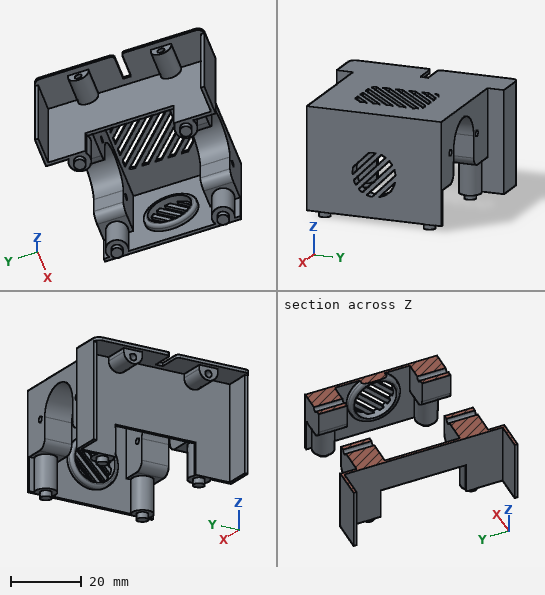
import cadquery as cq
import math


length = 46.1
width = 51.0
wall_depth = 30.85
sheet = 1.0

head_length = 11.0
corner_radius = 2.0
wing_setback = 1.7
notch_length = 7.95
notch_width = 2.3
notch_corner_radius = 1.0

body_width = 41.0
entry_wall_x = head_length - sheet
end_wall_x = length - sheet

block_depth = 20.45
block_gap = 23.15
block_thickness = (body_width - block_gap) / 2
arch_x = 29.05
arch_center_depth = 11.05
arch_radius = 7.6
arch_mouth_radius = 2.8
side_hole_diameter = 1.8
side_hole_spacing = 20.05

post_radius = 3.25
post_spacing_y = 31.95
post_xs = (12.75, 43.6)
pin_diameter = 3.4
pin_length = 1.75

doorway_width = 26.5
doorway_top_depth = 21.0

boss_radius = 3.05
boss_spacing = 24.9
boss_center_depth = 2.1
boss_length = entry_wall_x - wing_setback
boss_hole_depth = 3.15
boss_hole_diameter = 2.1

grille_spacing_along_edge = 4.0
grille_pitch = grille_spacing_along_edge / math.sqrt(2)
grille_slot_width = 1.4
top_grille_length = 15.1
top_grille_width = 21.1
top_grille_corner_radius = 2.0
top_grille_shift = 0.95
end_grille_shift = -0.65

collar_diameter = 16.1
collar_bore = 13.1
collar_height = 2.05
collar_rounding = 1.0
collar_center_depth = 18.05


def box(x_range, y_range, z_range):
    """Box between the given limits along each axis."""
    sizes = [high - low for low, high in (x_range, y_range, z_range)]
    corner = (x_range[0], y_range[0], z_range[0])
    return cq.Workplane("XY").box(*sizes, centered=False).translate(corner)


def cylinder_x(x_start, y, z, radius, depth):
    """Cylinder along +X."""
    return cq.Workplane("YZ", origin=(x_start, y, z)).circle(radius).extrude(depth)


def diagonal_bars(reach, shift, depth):
    """Parallel bars at 45 degrees in local XY, filling a square of the given half size."""
    half_diagonal = reach * math.sqrt(2)
    count = math.ceil(half_diagonal / grille_pitch)
    rows = [(0, shift + i * grille_pitch) for i in range(-count, count + 1)]
    bars = cq.Workplane("XY").pushPoints(rows).rect(2 * half_diagonal, grille_slot_width).extrude(depth)
    return bars.rotate((0, 0, 0), (0, 0, 1), 45)


def head():
    """Wide end of the plate with its two wings, rounded together at the free corners."""
    half = width / 2
    plate = box((0, head_length), (-half, half), (-sheet, 0))
    for y in (-half, half - sheet):
        plate = plate.union(box((0, head_length), (y, y + sheet), (-wall_depth, 0)))
    plate = plate.edges("|Z and <X and (<Y or >Y)").fillet(corner_radius)
    return plate.cut(box((0, wing_setback), (-half, half), (-wall_depth, -sheet)))


def notch():
    """Slot cut into the free edge of the head, flaring out to that edge with rounded corners."""
    half = notch_width / 2
    r = notch_corner_radius
    return (
        cq.Workplane("XY")
        .moveTo(0, half + r)
        .radiusArc((r, half), -r)
        .lineTo(notch_length, half)
        .lineTo(notch_length, -half)
        .lineTo(r, -half)
        .radiusArc((0, -half - r), -r)
        .close()
        .extrude(-sheet)
    )


def body():
    """Top plate, end walls and side blocks behind the head."""
    half = body_width / 2
    shell = box((entry_wall_x, length), (-half, half), (-sheet, 0))
    shell = shell.union(box((entry_wall_x, head_length), (-width / 2, width / 2), (-wall_depth, 0)))
    shell = shell.union(box((end_wall_x, length), (-half, half), (-wall_depth, 0)))
    for y in (-half, half - block_thickness):
        shell = shell.union(box((entry_wall_x, length), (y, y + block_thickness), (-block_depth, 0)))
    return shell


def arch_passage():
    """Arch through both side blocks, flaring out at its lower edges."""
    r = arch_mouth_radius
    mouth = arch_radius + r
    return (
        cq.Workplane("XZ", origin=(arch_x, 0, 0))
        .moveTo(-mouth, -block_depth)
        .radiusArc((-arch_radius, -block_depth + r), -r)
        .lineTo(-arch_radius, -arch_center_depth)
        .radiusArc((arch_radius, -arch_center_depth), arch_radius)
        .lineTo(arch_radius, -block_depth + r)
        .radiusArc((mouth, -block_depth), -r)
        .close()
        .extrude(body_width / 2, both=True)
    )


def side_holes():
    """Pair of holes beside the arch, through both side blocks."""
    return (
        cq.Workplane("XZ", origin=(arch_x, 0, -arch_center_depth))
        .rarray(side_hole_spacing, 0.5, 2, 1)
        .circle(side_hole_diameter / 2)
        .extrude(body_width / 2, both=True)
    )


def posts():
    """Posts below the side blocks, trimmed flush with the end walls, with a pin under each."""
    centers = [(x, side * post_spacing_y / 2) for x in post_xs for side in (-1, 1)]
    base = cq.Workplane("XY", origin=(0, 0, -wall_depth)).pushPoints(centers)
    limits = box((entry_wall_x, length), (-width / 2, width / 2), (-wall_depth, 0))
    columns = base.circle(post_radius).extrude(wall_depth - block_depth).intersect(limits)
    return columns.union(base.circle(pin_diameter / 2).extrude(-pin_length))


def top_grille():
    """Diagonal slots through the top plate, kept inside a rounded rectangle."""
    window = (
        cq.Workplane("XY")
        .rect(top_grille_length, top_grille_width)
        .extrude(-sheet)
        .edges("|Z")
        .fillet(top_grille_corner_radius)
    )
    bars = diagonal_bars(top_grille_width / 2, top_grille_shift, -sheet)
    return window.intersect(bars).translate((arch_x, 0, 0))


def collar():
    """Ring on the inner face of the end wall with a rounded outer rim."""
    start = end_wall_x - collar_height
    ring = cylinder_x(start, 0, -collar_center_depth, collar_diameter / 2, collar_height)
    ring = ring.faces("<X").edges().fillet(collar_rounding)
    return ring.cut(cylinder_x(start, 0, -collar_center_depth, collar_bore / 2, collar_height))


def end_grille():
    """Diagonal slots through the end wall, kept inside the bore of the collar."""
    window = cylinder_x(0, 0, 0, collar_bore / 2, sheet)
    bars = diagonal_bars(collar_bore / 2, end_grille_shift, sheet)
    bars = bars.rotate((0, 0, 0), (1, 1, 1), 120)
    return window.intersect(bars).translate((end_wall_x, 0, -collar_center_depth))


def doorway():
    """Opening at the foot of the entry wall."""
    half = doorway_width / 2
    return box((entry_wall_x, head_length), (-half, half), (-wall_depth, -doorway_top_depth))


def screw_boss(y):
    """Boss below the head plate, flat-sided above and rounded below."""
    r = boss_radius
    return (
        cq.Workplane("YZ", origin=(wing_setback, y, 0))
        .moveTo(-r, -sheet)
        .lineTo(-r, -boss_center_depth)
        .radiusArc((r, -boss_center_depth), -r)
        .lineTo(r, -sheet)
        .close()
        .extrude(boss_length)
    )


def screw_hole(y):
    """Hole along a screw boss, ending at the entry wall."""
    return cylinder_x(wing_setback, y, -boss_hole_depth, boss_hole_diameter / 2, boss_length)


result = head().union(body()).cut(notch()).cut(arch_passage()).cut(side_holes())
result = result.cut(doorway()).union(posts()).union(collar())
result = result.cut(top_grille()).cut(end_grille())
for boss_y in (-boss_spacing / 2, boss_spacing / 2):
    result = result.union(screw_boss(boss_y)).cut(screw_hole(boss_y))